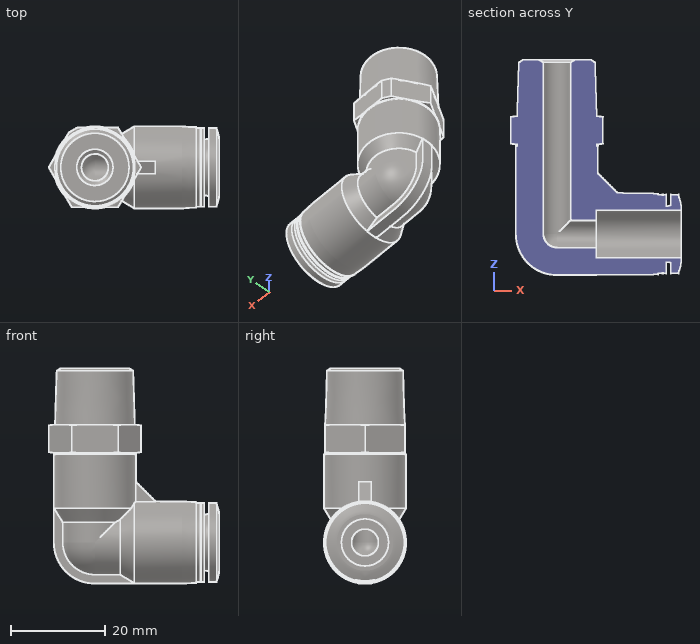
import cadquery as cq
import math


body_radius = 17.5 / 2
elbow_radius = 6.95
shoulder_start = 4.25
shoulder_end = 7.25
tube_shoulder_start = 5.35
tube_shoulder_end = 8.4
leg_top = 18.7
rib_thickness = 2.65
gusset_reach = 12.85

hex_bottom = 19.0
hex_top = 25.0
hex_flats = 17.0
hex_corner_radius = hex_flats / math.sqrt(3)
hex_face_radius = 8.9
hex_chamfer_height = 0.15
marked_corner_angle = 120.0
marked_corner_distance = 9.2
collar_radius = 8.5

thread_top = 37.0
thread_base_radius = 8.5
thread_tip_radius = 8.15
thread_chamfer_height = 0.6
thread_end_radius = 7.25

sleeve_taper_start = 18.45
sleeve_end = 21.45
sleeve_end_radius = 8.6
cap_radius = 16.8 / 2
cap_end = 23.25
cap_groove_start = 22.4
cap_groove_width = 0.2
cap_groove_depth = 0.1
neck_radius = 12.0 / 2
neck_flare_start = 23.6
neck_flare_radius = 6.15
ring_start = 24.15
ring_rim_end = 25.85
ring_shoulder_radius = 8.15
ring_face_radius = 6.0
ring_dome_bulge = 0.1
overall_length = 36.22
ring_end = overall_length - hex_corner_radius

bore_radius = 5.7 / 2
bore_mouth_radius = 3.85
bore_mouth_angle = 120.0
tube_socket_radius = 10.0 / 2
tube_stop = tube_shoulder_end


def revolve_z(profile):
    """Solid of revolution about Z from (radius, z) points."""
    return cq.Workplane("XZ").polyline(profile).close().revolve(360, (0, 0), (0, 1))


def elbow_leg(cone_start, cone_end, length):
    """Elbow tube flaring into the full body, along +Z from the origin."""
    return revolve_z([
        (0, 0),
        (elbow_radius, 0),
        (elbow_radius, cone_start),
        (body_radius, cone_end),
        (body_radius, length),
        (0, length),
    ])


def along_x(solid):
    """Turn a solid built along +Z so that it lies along +X."""
    return solid.rotate((0, 0, 0), (0, 1, 0), 90)


def elbow():
    corner = cq.Workplane("XY").sphere(elbow_radius)
    vertical = elbow_leg(shoulder_start, shoulder_end, leg_top)
    horizontal = along_x(elbow_leg(tube_shoulder_start, tube_shoulder_end, sleeve_taper_start))
    return corner.union(vertical).union(horizontal)


def centre_rib():
    """Flat-backed web in the middle plane, following the outside of the bend."""
    diagonal = body_radius * math.sqrt(0.5)
    return (
        cq.Workplane("XZ")
        .moveTo(0, shoulder_end)
        .lineTo(-body_radius, shoulder_end)
        .lineTo(-body_radius, 0)
        .threePointArc((-diagonal, -diagonal), (0, -body_radius))
        .lineTo(tube_shoulder_end, -body_radius)
        .lineTo(tube_shoulder_end, 0)
        .lineTo(0, 0)
        .close()
        .extrude(rib_thickness / 2, both=True)
    )


def gusset():
    """Sloping web in the inner corner between the two legs."""
    return (
        cq.Workplane("XZ")
        .lineTo(gusset_reach, 0)
        .lineTo(gusset_reach, body_radius)
        .lineTo(body_radius, gusset_reach)
        .lineTo(0, gusset_reach)
        .close()
        .extrude(rib_thickness / 2, both=True)
    )


def hexagon():
    prism = (
        cq.Workplane("XY", origin=(0, 0, hex_bottom))
        .polygon(6, 2 * hex_corner_radius)
        .extrude(hex_top - hex_bottom)
    )
    chamfer_envelope = revolve_z([
        (0, hex_bottom),
        (hex_face_radius, hex_bottom),
        (hex_corner_radius, hex_bottom + hex_chamfer_height),
        (hex_corner_radius, hex_top - hex_chamfer_height),
        (hex_face_radius, hex_top),
        (0, hex_top),
    ])
    corner_cutter = (
        cq.Workplane("XY")
        .box(hex_corner_radius, hex_flats, hex_top - hex_bottom, centered=(False, True, False))
        .translate((marked_corner_distance, 0, hex_bottom))
        .rotate((0, 0, 0), (0, 0, 1), marked_corner_angle)
    )
    return prism.intersect(chamfer_envelope).cut(corner_cutter)


def threaded_end():
    """Collar under the hexagon and the tapered thread above it."""
    return revolve_z([
        (0, leg_top),
        (collar_radius, leg_top),
        (collar_radius, hex_bottom),
        (thread_base_radius, hex_top),
        (thread_tip_radius, thread_top - thread_chamfer_height),
        (thread_end_radius, thread_top),
        (0, thread_top),
    ])


def sleeve_and_cap():
    groove_radius = cap_radius - cap_groove_depth
    groove_end = cap_groove_start + cap_groove_width
    return along_x(revolve_z([
        (0, sleeve_taper_start),
        (body_radius, sleeve_taper_start),
        (sleeve_end_radius, sleeve_end),
        (cap_radius, sleeve_end),
        (cap_radius, cap_groove_start),
        (groove_radius, cap_groove_start),
        (groove_radius, groove_end),
        (cap_radius, groove_end),
        (cap_radius, cap_end),
        (0, cap_end),
    ]))


def release_ring():
    """Neck and push ring with a slightly domed front."""
    dome_middle_radius = (ring_shoulder_radius + ring_face_radius) / 2
    dome_middle = (ring_rim_end + ring_end) / 2 + ring_dome_bulge
    profile = (
        cq.Workplane("XZ")
        .moveTo(0, cap_end)
        .lineTo(neck_radius, cap_end)
        .lineTo(neck_radius, neck_flare_start)
        .lineTo(neck_flare_radius, ring_start)
        .lineTo(cap_radius, ring_start)
        .lineTo(cap_radius, ring_rim_end)
        .lineTo(ring_shoulder_radius, ring_rim_end)
        .threePointArc((dome_middle_radius, dome_middle), (ring_face_radius, ring_end))
        .lineTo(0, ring_end)
        .close()
    )
    return along_x(profile.revolve(360, (0, 0), (0, 1)))


def passages():
    """Right-angle bore with a flared thread mouth and a stepped tube socket."""
    half_angle = math.radians(bore_mouth_angle / 2)
    mouth_depth = (bore_mouth_radius - bore_radius) / math.tan(half_angle)
    vertical = revolve_z([
        (0, 0),
        (bore_radius, 0),
        (bore_radius, thread_top - mouth_depth),
        (bore_mouth_radius, thread_top),
        (0, thread_top),
    ])
    horizontal = along_x(revolve_z([
        (0, 0),
        (bore_radius, 0),
        (bore_radius, tube_stop),
        (tube_socket_radius, tube_stop),
        (tube_socket_radius, ring_end),
        (0, ring_end),
    ]))
    corner = cq.Workplane("XY").sphere(bore_radius)
    return vertical.union(horizontal).union(corner)


result = (
    elbow()
    .union(centre_rib())
    .union(gusset())
    .union(threaded_end())
    .union(hexagon())
    .union(sleeve_and_cap())
    .union(release_ring())
    .cut(passages())
)